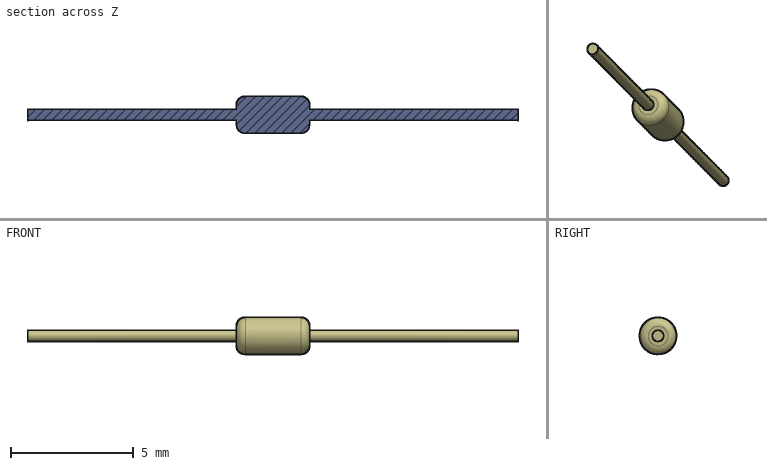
import cadquery as cq

lead_length = 20.0
lead_diameter = 0.45
body_length = 3.0
body_diameter = 1.52
edge_radius = 0.35


def cylinder_along_x(length, diameter):
    """Cylinder centred on the origin with its axis along X."""
    return cq.Workplane("YZ", origin=(-length / 2, 0, 0)).circle(diameter / 2).extrude(length)


body = cylinder_along_x(body_length, body_diameter).edges("%CIRCLE").fillet(edge_radius)
lead = cylinder_along_x(lead_length, lead_diameter)

result = body.union(lead)